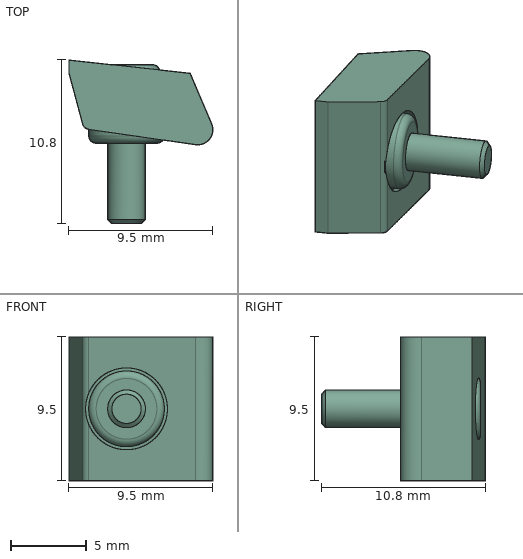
import cadquery as cq
import math

height = 9.5
width = 9.5
front_y = -5.6
left_land = 0.87
back_corner = (8.0, -0.87)
left_slope = 15.0
front_slope = 8.2
nose_radius = 1.0
left_edge_radius = 0.5

pin_x = 3.8
pin_diameter = 2.5
pin_tip_y = -10.8
pin_chamfer_length = 0.26
pin_chamfer_width = 0.28
head_diameter = 5.0
head_face_y = -5.5
boss_diameter = 4.4
boss_face_y = -0.3
rounding = 0.5
recess_diameter = 5.4
recess_floor_y = -4.43


def polar(center, radius, degrees):
    angle = math.radians(degrees)
    return (center[0] + radius * math.cos(angle), center[1] + radius * math.sin(angle))


def make_wedge():
    nose = (width - nose_radius, front_y + nose_radius)

    dx = back_corner[0] - nose[0]
    dy = back_corner[1] - nose[1]
    flank_angle = math.degrees(
        math.atan2(dy, dx) - math.acos(nose_radius / math.hypot(dx, dy))
    )
    front_angle = -90 - front_slope
    flank_end = polar(nose, nose_radius, flank_angle)
    nose_middle = polar(nose, nose_radius, (flank_angle + front_angle) / 2)
    front_end = polar(nose, nose_radius, front_angle)

    front_rise = math.tan(math.radians(front_slope))
    left_run = math.tan(math.radians(left_slope))
    corner_x = (front_end[1] + front_end[0] * front_rise + left_land) / (front_rise - 1 / left_run)
    corner_y = -left_land - corner_x / left_run

    outline = (
        cq.Workplane("XY", origin=(0, 0, -height / 2))
        .moveTo(0, 0)
        .lineTo(*back_corner)
        .lineTo(*flank_end)
        .threePointArc(nose_middle, front_end)
        .lineTo(corner_x, corner_y)
        .lineTo(0, -left_land)
        .close()
    )
    corner_edge = cq.selectors.NearestToPointSelector((corner_x, corner_y, 0))
    return outline.extrude(height).edges(corner_edge).fillet(left_edge_radius)


def cylinder(diameter, front, back):
    """Cylinder on the pin axis between two Y positions."""
    plane = cq.Workplane("XZ", origin=(pin_x, front, 0))
    return plane.circle(diameter / 2).extrude(front - back)


def make_pin():
    shaft = cylinder(pin_diameter, pin_tip_y, head_face_y)
    shaft = shaft.faces("<Y").chamfer(pin_chamfer_length, pin_chamfer_width)
    head = cylinder(head_diameter, head_face_y, recess_floor_y)
    head = head.faces("<Y").edges().fillet(rounding)
    boss = cylinder(boss_diameter, recess_floor_y, boss_face_y)
    boss = boss.faces(">Y").edges().fillet(rounding)
    return shaft.union(head).union(boss)


recess = cylinder(recess_diameter, pin_tip_y, recess_floor_y)
result = make_wedge().cut(recess).union(make_pin())